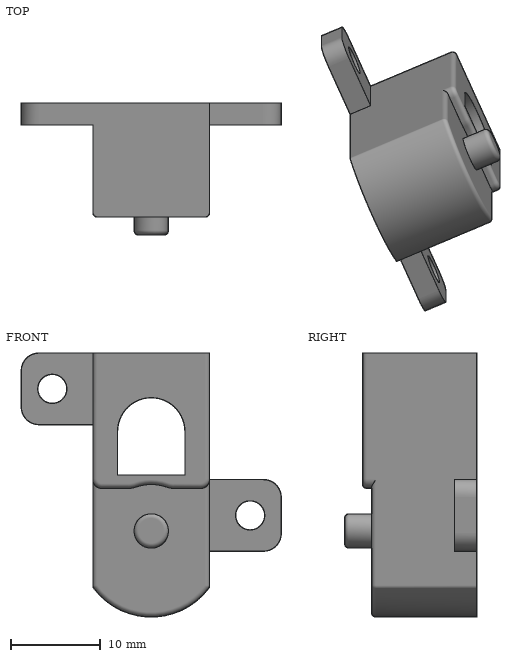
import cadquery as cq
import math

height = 29.43
body_width = 13.0
half_width = body_width / 2
edge_radius = 0.5
lower_depth = 11.75
bottom_radius = 8.0

step_height = 1.0
cap_bottom = 14.33
cap_corner_radius = 1.0
upper_depth = lower_depth + step_height

pin_radius = 1.9
pin_z = 9.6
pin_tip = 14.75
clearance_radius = 5.18
wave_blend_radius = 2.0

wall = 1.0

window_width = 7.48
window_bottom = 15.83
window_top = 24.43

total_width = 29.0
tab_width = (total_width - body_width) / 2
tab_height = 8.0
tab_thickness = 2.5
tab_corner_radius = 2.0
tab_hole_diameter = 3.2
tab_hole_inset = 3.47
left_tab_bottom = height - tab_height
right_tab_bottom = 7.33


def front_plane(depth=0):
    """XZ sketch plane at the given distance in front of the back face."""
    return cq.Workplane("XZ", origin=(0, -depth, 0))


def round_bottomed_block(half_span, top, radius, depth):
    """Straight-sided block whose bottom is an arc centered at height bottom_radius."""
    side_bottom = bottom_radius - math.sqrt(radius**2 - half_span**2)
    return (
        front_plane()
        .moveTo(-half_span, top)
        .lineTo(-half_span, side_bottom)
        .threePointArc((0, bottom_radius - radius), (half_span, side_bottom))
        .lineTo(half_span, top)
        .close()
        .extrude(depth)
    )


def make_lower_body():
    body = round_bottomed_block(half_width, height, bottom_radius, lower_depth)
    body = body.edges("|Y").edges("<Z").fillet(edge_radius)
    return body.faces("<Y").edges("not >Z").fillet(edge_radius)


def make_cavity():
    return round_bottomed_block(
        half_width - wall, height - wall, bottom_radius - wall, lower_depth - wall
    )


def make_upper_body():
    blend_z = cap_bottom + wave_blend_radius
    center_distance = clearance_radius + wave_blend_radius
    blend_x = math.sqrt(center_distance**2 - (blend_z - pin_z) ** 2)
    joint_x = blend_x * clearance_radius / center_distance
    joint_z = pin_z + (blend_z - pin_z) * clearance_radius / center_distance
    body = (
        front_plane()
        .moveTo(-half_width, height)
        .lineTo(-half_width, cap_bottom + cap_corner_radius)
        .radiusArc((-half_width + cap_corner_radius, cap_bottom), -cap_corner_radius)
        .lineTo(-blend_x, cap_bottom)
        .radiusArc((-joint_x, joint_z), -wave_blend_radius)
        .threePointArc((0, pin_z + clearance_radius), (joint_x, joint_z))
        .radiusArc((blend_x, cap_bottom), -wave_blend_radius)
        .lineTo(half_width - cap_corner_radius, cap_bottom)
        .radiusArc((half_width, cap_bottom + cap_corner_radius), -cap_corner_radius)
        .lineTo(half_width, height)
        .close()
        .extrude(upper_depth)
    )
    return body.faces("<Y").edges("not >Z").fillet(edge_radius)


def make_pin():
    pin = front_plane().center(0, pin_z).circle(pin_radius).extrude(pin_tip)
    return pin.faces("<Y").edges().fillet(edge_radius)


def make_window():
    arch_radius = window_width / 2
    arch_start = window_top - arch_radius
    return (
        front_plane()
        .moveTo(-arch_radius, arch_start)
        .lineTo(-arch_radius, window_bottom)
        .lineTo(arch_radius, window_bottom)
        .lineTo(arch_radius, arch_start)
        .threePointArc((0, window_top), (-arch_radius, arch_start))
        .close()
        .extrude(upper_depth)
    )


def make_tab(side, bottom):
    """Tab on the -X (side = -1) or +X (side = 1) flank, rounded at its outer end."""
    middle_z = bottom + tab_height / 2
    tab = (
        front_plane()
        .center(side * (half_width + tab_width / 2), middle_z)
        .rect(tab_width, tab_height)
        .extrude(tab_thickness)
    )
    outer_edges = ">X" if side > 0 else "<X"
    tab = tab.edges("|Y").edges(outer_edges).fillet(tab_corner_radius)
    hole = (
        front_plane()
        .center(side * (total_width / 2 - tab_hole_inset), middle_z)
        .circle(tab_hole_diameter / 2)
        .extrude(tab_thickness)
    )
    return tab.cut(hole)


result = (
    make_lower_body()
    .union(make_upper_body())
    .union(make_pin())
    .cut(make_cavity())
    .cut(make_window())
    .union(make_tab(-1, left_tab_bottom))
    .union(make_tab(1, right_tab_bottom))
)